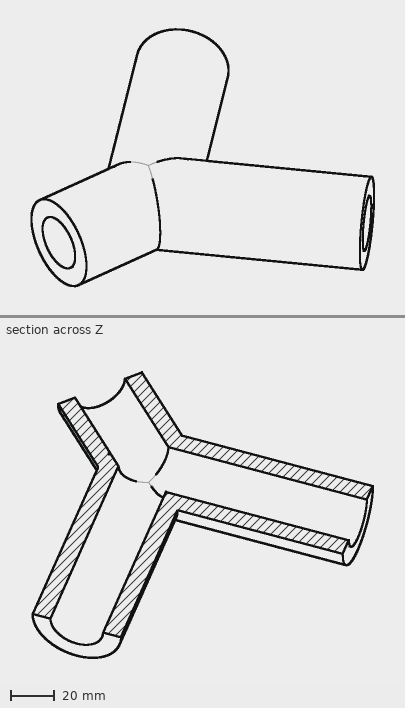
import cadquery as cq
import math

outer_diameter = 43.0
bore_diameter = 25.4
overall_width = 174.0
overall_depth = 137.8
arm_angle = 45.0

outer_radius = outer_diameter / 2
tilt = math.radians(arm_angle)
arm_length = (overall_width / 2 - outer_radius * math.cos(tilt)) / math.sin(tilt)
arm_reach = arm_length * math.cos(tilt) + outer_radius * math.sin(tilt)
stem_length = overall_depth - arm_reach

legs = [
    (cq.Vector(0, -1, 0), stem_length),
    (cq.Vector(-math.sin(tilt), math.cos(tilt), 0), arm_length),
    (cq.Vector(math.sin(tilt), math.cos(tilt), 0), arm_length),
]


def mitred_leg(direction, length, diameter):
    """Cylinder running outward from the junction, trimmed at its mitre planes."""
    overlap = 2 * diameter
    start = direction * -overlap
    leg = cq.Workplane(cq.Solid.makeCylinder(diameter / 2, length + overlap, start, direction))
    block_size = 4 * overall_width
    for other, _ in legs:
        if other is direction:
            continue
        mitre_normal = (other - direction).normalized()
        plane = cq.Plane(origin=(0, 0, 0), xDir=(0, 0, 1), normal=mitre_normal.toTuple())
        leg = leg.cut(cq.Workplane(plane).rect(block_size, block_size).extrude(block_size))
    return leg


def joined_legs(diameter):
    """Three mitred cylinders fused into one Y-shaped body."""
    body = cq.Workplane()
    for direction, length in legs:
        body = body.add(mitred_leg(direction, length, diameter))
    return body.combine()


result = joined_legs(outer_diameter).cut(joined_legs(bore_diameter))